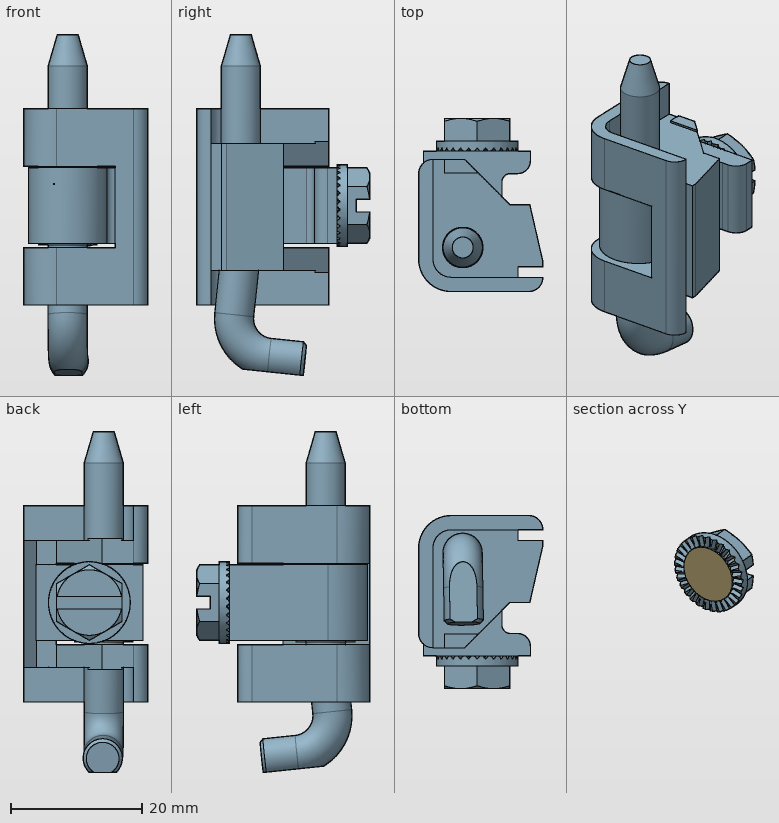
import cadquery as cq
import math


bracket_length = 19.0
bracket_depth = 20.2
bracket_height = 30.0
wall = 2.2
corner_radius = 5.0
lug_height = 8.8
lug_recess = 5.3
window_length = 14.0
slot_start_x = 15.2
slot_top_y = 3.8
step_x = 17.0
step_y = 13.3
slant_end_y = 4.6
diagonal_sum = 27.25
pad_start_x = 4.0
pad_start_y = 18.1
pad_height = 0.3
bracket_bore_diameter = 6.1

pin_x = 6.75
pin_y = 6.75
pin_diameter = 6.0
pin_radius = pin_diameter / 2
pin_top = 41.31
tip_height = 4.8
tip_diameter = 3.2
pin_tilt = math.radians(6)
tilt_start_z = 8.1
tilt_radius = 10.0
tilted_length = 9.6
bend_radius = 6.0
handle_length = 5.45
handle_chamfer = 0.5
handle_flat_offset = 2.15
pin_twist = -1.0

leaf_end_radius = 6.0
leaf_left_x = pin_x - leaf_end_radius
leaf_right_x = pin_x + leaf_end_radius
leaf_end_y = 6.4
leaf_back_y = 21.45
leaf_height = 11.6
boss_diameter = 9.0
boss_height = 0.2
leaf_top = bracket_height - lug_height - boss_height
leaf_bottom = leaf_top - leaf_height
flange_end_x = 17.1
flange_thickness = 3.45
flange_tip_radius = 2.0
flange_root_radius = 1.25
leaf_bore_diameter = 6.2

screw_x = 8.95
screw_z = (leaf_top + leaf_bottom) / 2
collar_diameter = 12.5
collar_thickness = 1.55
hex_flats = 10.0
hex_corners = hex_flats / math.cos(math.radians(30))
hex_height = 3.45
hex_chamfer_angle = math.radians(30)
slot_width = 1.9
slot_depth = 2.05
tooth_count = 30
tooth_gap_width = 0.85
tooth_gap_depth = 0.45
tooth_inner_radius = 4.5


def make_pin():
    """Pin with a tapered tip, a slight tilt, a square bend and a flatted handle."""
    down = cq.Vector(0, -math.sin(pin_tilt), -math.cos(pin_tilt))
    out = cq.Vector(0, math.cos(pin_tilt), -math.sin(pin_tilt))
    axis_top = cq.Vector(pin_x, pin_y, pin_top - tip_height)
    tilt_point = cq.Vector(pin_x, pin_y, tilt_start_z)
    tilt_tangent = tilt_radius * math.tan(pin_tilt / 2)
    tilt_begin = tilt_point + cq.Vector(0, 0, tilt_tangent)
    tilt_end = tilt_point + down * tilt_tangent
    bend_begin = tilt_point + down * tilted_length
    bend_end = bend_begin + (down + out) * bend_radius
    handle_end = bend_end + out * handle_length

    straight = cq.Edge.makeLine(axis_top, tilt_begin)
    tilt = cq.Edge.makeTangentArc(tilt_begin, cq.Vector(0, 0, -1), tilt_end)
    tilted = cq.Edge.makeLine(tilt_end, bend_begin)
    bend = cq.Edge.makeTangentArc(bend_begin, down, bend_end)
    handle = cq.Edge.makeLine(bend_end, handle_end)
    axis = cq.Wire.assembleEdges([straight, tilt, tilted, bend, handle])

    pin = cq.Workplane("XY", origin=axis_top.toTuple()).circle(pin_radius).sweep(cq.Workplane(axis))
    pin = pin.faces(cq.selectors.NearestToPointSelector(handle_end.toTuple())).chamfer(handle_chamfer)

    tip = cq.Solid.makeCone(pin_radius, tip_diameter / 2, tip_height, axis_top)
    pin = pin.union(cq.Workplane(tip))

    flat_plane = cq.Plane(handle_end + down * handle_flat_offset, xDir=(1, 0, 0), normal=down)
    flat_reach = handle_length + bend_radius
    flat_cutter = cq.Workplane(flat_plane).rect(2 * pin_diameter, 2 * flat_reach).extrude(pin_diameter)
    pin = pin.cut(flat_cutter)
    return pin.rotate((pin_x, pin_y, 0), (pin_x, pin_y, 1), pin_twist)


def make_walls():
    """Angle of two walls with a rounded corner and rounded outer ends."""
    return (
        cq.Workplane("XY")
        .moveTo(corner_radius, 0)
        .lineTo(bracket_length - wall, 0)
        .tangentArcPoint((bracket_length, wall), relative=False)
        .lineTo(corner_radius, wall)
        .tangentArcPoint((wall, corner_radius), relative=False)
        .lineTo(wall, bracket_depth)
        .radiusArc((0, bracket_depth - wall), -wall)
        .lineTo(0, corner_radius)
        .tangentArcPoint((corner_radius, 0), relative=False)
        .close()
        .extrude(bracket_height)
    )


def make_lug_block():
    """Block between the walls, with the raised pads, before the leaf window is cut."""
    diagonal_top = (diagonal_sum - bracket_depth, bracket_depth)
    block = (
        cq.Workplane("XY", origin=(0, 0, lug_recess))
        .polyline([
            (wall, wall),
            (slot_start_x, wall),
            (slot_start_x, slot_top_y),
            (bracket_length, slot_top_y),
            (bracket_length, slant_end_y),
            (step_x, step_y),
            (diagonal_sum - step_y, step_y),
            diagonal_top,
            (wall, bracket_depth),
        ])
        .close()
        .extrude(bracket_height - 2 * lug_recess)
    )
    pads = (
        cq.Workplane("XY", origin=(0, 0, lug_recess - pad_height))
        .polyline([
            (pad_start_x, pad_start_y),
            (diagonal_sum - pad_start_y, pad_start_y),
            diagonal_top,
            (pad_start_x, bracket_depth),
        ])
        .close()
        .extrude(bracket_height - 2 * (lug_recess - pad_height))
    )
    return block.union(pads)


def make_bracket(pin):
    window_height = bracket_height - 2 * lug_height
    window = (
        cq.Workplane("XY", origin=(0, 0, lug_height))
        .rect(window_length, bracket_depth, centered=False)
        .extrude(window_height)
    )
    bore = (
        cq.Workplane("XY", origin=(pin_x, pin_y, lug_height))
        .circle(bracket_bore_diameter / 2)
        .extrude(bracket_height - lug_height)
    )
    return make_walls().union(make_lug_block()).cut(window).cut(bore).cut(pin)


def make_leaf():
    """Leaf with a rounded hinge end, a hooked back flange and a thrust boss at each face."""
    flange_front_y = leaf_back_y - flange_thickness
    body = (
        cq.Workplane("XY", origin=(0, 0, leaf_bottom))
        .moveTo(leaf_left_x, leaf_back_y)
        .lineTo(leaf_left_x, leaf_end_y)
        .tangentArcPoint((leaf_right_x, leaf_end_y), relative=False)
        .lineTo(leaf_right_x, flange_front_y - flange_root_radius)
        .tangentArcPoint((leaf_right_x + flange_root_radius, flange_front_y), relative=False)
        .lineTo(flange_end_x - flange_tip_radius, flange_front_y)
        .tangentArcPoint((flange_end_x, flange_front_y + flange_tip_radius), relative=False)
        .lineTo(flange_end_x, leaf_back_y)
        .close()
        .extrude(leaf_height)
    )
    bosses_and_bore = cq.Workplane("XY", origin=(pin_x, pin_y, leaf_bottom - boss_height))
    full_height = leaf_height + 2 * boss_height
    bosses = bosses_and_bore.circle(boss_diameter / 2).extrude(full_height)
    bore = bosses_and_bore.circle(leaf_bore_diameter / 2).extrude(full_height)
    return body.union(bosses).cut(bore)


def make_hex_head():
    """Slotted hex head standing on z = 0, with corners on the Y axis and a chamfered top."""
    point_radius = hex_corners / 2
    rim_radius = hex_flats / 2
    chamfer_drop = (point_radius - rim_radius) * math.tan(hex_chamfer_angle)
    head = cq.Workplane("XY").polygon(6, hex_corners).extrude(hex_height)
    head = head.rotate((0, 0, 0), (0, 0, 1), 90)
    chamfer_envelope = (
        cq.Workplane("XZ")
        .polyline([
            (0, 0),
            (point_radius, 0),
            (point_radius, hex_height - chamfer_drop),
            (rim_radius, hex_height),
            (0, hex_height),
        ])
        .close()
        .revolve(360, (0, 0), (0, 1))
    )
    slot = (
        cq.Workplane("XY", origin=(0, 0, hex_height - slot_depth))
        .rect(hex_corners, slot_width)
        .extrude(slot_depth)
    )
    return head.intersect(chamfer_envelope).cut(slot)


def make_collar():
    """Round collar standing on z = 0, with a ring of V-shaped gaps between teeth underneath."""
    collar = cq.Workplane("XY").circle(collar_diameter / 2).extrude(collar_thickness)
    gap = (
        cq.Workplane("YZ", origin=(tooth_inner_radius, 0, 0))
        .polyline([(-tooth_gap_width / 2, 0), (tooth_gap_width / 2, 0), (0, tooth_gap_depth)])
        .close()
        .extrude(collar_diameter / 2)
    )
    first_angle = 90
    for index in range(tooth_count):
        angle = first_angle + index * 360 / tooth_count
        collar = collar.cut(gap.rotate((0, 0, 0), (0, 0, 1), angle))
    return collar


def make_screw():
    """Screw with its axis along Y, its collar seated on the back of the leaf."""
    screw = make_collar().union(make_hex_head().translate((0, 0, collar_thickness)))
    screw = screw.rotate((0, 0, 0), (1, 0, 0), -90)
    return screw.translate((screw_x, leaf_back_y, screw_z))


hinge_pin = make_pin()
bracket = make_bracket(hinge_pin)
leaf = make_leaf()
screw = make_screw()

result = cq.Compound.makeCompound([bracket.val(), leaf.val(), hinge_pin.val(), screw.val()])